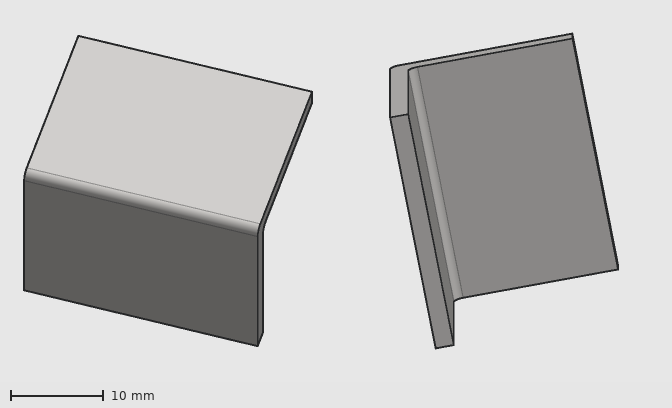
import cadquery as cq

length = 26.3
leg = 20.0
thickness = 2.0
bend_radius = thickness / 2

front = -leg / 2
back = leg / 2
top = leg / 2
bottom = -leg / 2

profile = [
    (front, bottom),
    (front, top),
    (back, top),
    (back, top - thickness),
    (front + thickness, top - thickness),
    (front + thickness, bottom),
]
angle = cq.Workplane("YZ").polyline(profile).close().extrude(length / 2, both=True)


def corner_edge(y, z):
    """Selector for the lengthwise edge passing through (y, z)."""
    return cq.selectors.NearestToPointSelector((0, y, z))


angle = angle.edges(corner_edge(front, top)).fillet(bend_radius)
angle = angle.edges(corner_edge(front + thickness, top - thickness)).fillet(bend_radius)

result = angle